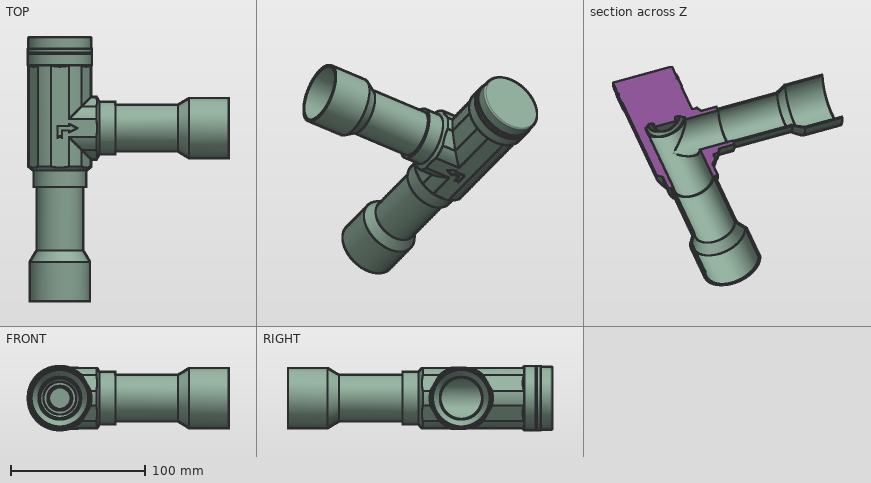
import cadquery as cq
import math


bar_diameter = 47.0
across_flats = 45.1
flat_count = 6
main_end = 28.5
main_shoulder_end = 31.7
branch_end = 27.2
branch_shoulder_end = 29.4

ring_diameter = 39.5
main_ring_end = 44.0
branch_ring_end = 41.4
tube_diameter = 35.0
tube_bore = 32.0
socket_diameter = 45.1
socket_bore = 42.2
socket_length = 29.5
flare_length = 8.3
main_tube_end = 129.0
branch_tube_end = 125.9

head_end = 68.0
head_diameter = bar_diameter
head_rounding = 1.2
collar_diameter = 48.0
collar_start = 47.0
collar_runout = 1.4
collar_end = 59.3
collar_chamfer = 0.2
groove_width = 1.0
groove_start = 55.4
groove_diameter = 46.0

body_bore = 31.0
seat_start = 17.7
seat_mouth_diameter = 29.4
seat_diameter = 25.5
seat_taper = 2.0
floor_diameter = 24.5
floor_chamfer = 0.5
floor_position = seat_start + seat_taper + floor_chamfer
spindle_diameter = 17.3
spindle_chamfer = 0.5
spindle_length = 4.0

arrow_height = 0.4
arrow_half_width = 1.5
arrow_neck = 6.7
arrow_barb = 3.2
arrow_tip = 13.0
arrow_tail = 7.3
arrow_notch = 5.7


def turned(profile):
    """Turn (distance, diameter) steps into a solid along +X, starting at the origin."""
    points = [(distance, diameter / 2) for distance, diameter in profile]
    outline = [(points[0][0], 0)] + points + [(points[-1][0], 0)]
    return cq.Workplane("XY").polyline(outline).close().revolve(360, (0, 0, 0), (1, 0, 0))


def flatted_bar(start, end):
    """Round bar along +X with flats, two of them facing +Z and -Z."""
    across_corners = across_flats / math.cos(math.pi / flat_count)
    hexagon = (
        cq.Workplane("YZ", origin=(start, 0, 0))
        .polygon(flat_count, across_corners)
        .extrude(end - start)
    )
    return hexagon.intersect(turned([(start, bar_diameter), (end, bar_diameter)]))


def run_outside(bar_end, shoulder_end, ring_end, tube_end):
    """Body arm, shoulder, ring and tube with its flared socket, along +X."""
    flare_end = tube_end - socket_length
    flare_start = flare_end - flare_length
    shoulder = turned([(0, bar_diameter), (bar_end, bar_diameter), (shoulder_end, ring_diameter)])
    arm = flatted_bar(0, shoulder_end).intersect(shoulder)
    tail = turned([
        (0, ring_diameter),
        (ring_end, ring_diameter),
        (ring_end, tube_diameter),
        (flare_start, tube_diameter),
        (flare_end, socket_diameter),
        (tube_end, socket_diameter),
    ])
    return arm.union(tail)


def run_bore(ring_end, tube_end):
    """Socket, tube and body bore of one run, along +X."""
    flare_end = tube_end - socket_length
    return turned([
        (0, body_bore),
        (ring_end, body_bore),
        (ring_end, tube_bore),
        (flare_end - flare_length, tube_bore),
        (flare_end, socket_bore),
        (tube_end, socket_bore),
    ])


def head():
    """Grooved collar and cap end, along +X."""
    return turned([
        (collar_start - collar_runout, across_flats),
        (collar_start, collar_diameter),
        (groove_start, collar_diameter),
        (groove_start, groove_diameter),
        (groove_start + groove_width, groove_diameter),
        (groove_start + groove_width, collar_diameter),
        (collar_end - collar_chamfer, collar_diameter),
        (collar_end, collar_diameter - 2 * collar_chamfer),
        (collar_end, head_diameter),
        (head_end, head_diameter),
    ]).faces(">X").edges().fillet(head_rounding)


def seat_recess():
    """Blind, tapered end of the main bore, along +X."""
    return turned([
        (0, body_bore),
        (seat_start, body_bore),
        (seat_start, seat_mouth_diameter),
        (seat_start + seat_taper, seat_diameter),
        (floor_position, floor_diameter),
    ])


def spindle():
    """Spindle with a chamfered tip and a flared foot, standing on the floor of the seat recess."""
    tip = floor_position - spindle_length
    tip_diameter = spindle_diameter - 2 * spindle_chamfer
    foot_diameter = spindle_diameter + 2 * spindle_chamfer
    return turned([
        (tip, tip_diameter),
        (tip + spindle_chamfer, spindle_diameter),
        (floor_position - spindle_chamfer, spindle_diameter),
        (floor_position, foot_diameter),
    ])


def flow_arrow():
    """Bent arrow pointing from the main run into the branch, raised from the top flat."""
    return (
        cq.Workplane("XY")
        .polyline([
            (-arrow_half_width, arrow_half_width),
            (arrow_neck, arrow_half_width),
            (arrow_neck, arrow_barb),
            (arrow_tip, 0),
            (arrow_neck, -arrow_barb),
            (arrow_neck, -arrow_half_width),
            (arrow_half_width, -arrow_half_width),
            (arrow_half_width, -arrow_tail),
            (0, -arrow_notch),
            (-arrow_half_width, -arrow_tail),
        ])
        .close()
        .extrude(2 * arrow_height)
        .translate((0, 0, across_flats / 2 - arrow_height))
    )


def toward_plus_y(shape):
    return shape.rotate((0, 0, 0), (0, 0, 1), 90)


def toward_minus_y(shape):
    return shape.rotate((0, 0, 0), (0, 0, 1), -90)


main_outside = toward_minus_y(run_outside(main_end, main_shoulder_end, main_ring_end, main_tube_end))
branch_outside = run_outside(branch_end, branch_shoulder_end, branch_ring_end, branch_tube_end)
upper_body = toward_plus_y(flatted_bar(0, collar_start).union(head()))
outside = main_outside.union(upper_body).union(branch_outside)

top_arrow = flow_arrow()
bottom_arrow = top_arrow.mirror("XY")
outside = outside.union(top_arrow).union(bottom_arrow)

result = (
    outside
    .cut(toward_minus_y(run_bore(main_ring_end, main_tube_end)))
    .cut(run_bore(branch_ring_end, branch_tube_end))
    .cut(toward_plus_y(seat_recess()))
    .union(toward_plus_y(spindle()))
)